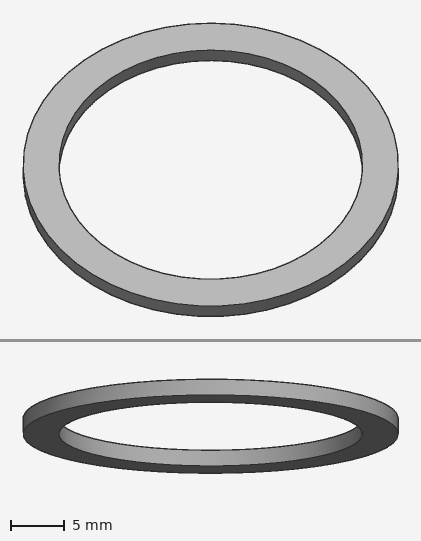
import cadquery as cq

outer_diameter = 35.0
inner_diameter = 28.3
thickness = 1.5

result = (
    cq.Workplane("XY")
    .circle(outer_diameter / 2)
    .circle(inner_diameter / 2)
    .extrude(thickness)
)